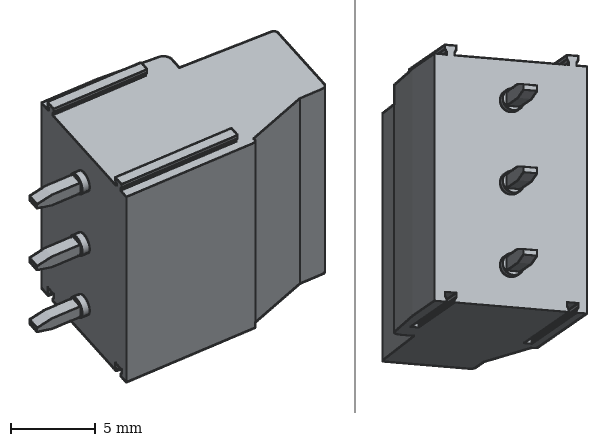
import cadquery as cq
import math


overall_depth = 18.5

pole_pitch = 5.0
pole_count = 3
housing_width = 9.5
housing_depth = 15.0
housing_height = pole_pitch * pole_count

left_wall_depth = 3.87
left_wall_lean = 4.0
ledge_depth = 8.5
ledge_inner_x = 1.7
neck_lean = 2.0
ledge_fillet = 0.6

rim_depth = 9.01
slope_end_depth = 13.14
slope_angle = 20.0
neck_right_x = 7.68
rim_fillet = 0.18
neck_fillet = 0.3

rib_width = 0.7
rib_height = 0.6
rib_head_height = 0.25
rib_taper_height = 0.18
rib_taper_inset = 0.11
left_rib_x = 1.02
right_rib_x = 8.62
left_rib_length = 6.48
right_rib_length = 8.03

pin_x = housing_width / 2
pin_total_length = overall_depth - housing_depth
pin_size = 0.85
pin_tip_height = 0.33
pin_tip_length = 1.04
collar_diameter = 1.33
collar_length = 0.5


def lean_offset(run, angle):
    """Sideways shift of a wall that leans by angle over the given run."""
    return run * math.tan(math.radians(angle))


def make_housing():
    ledge_outer_x = lean_offset(ledge_depth - left_wall_depth, left_wall_lean)
    neck_left_x = ledge_inner_x + lean_offset(housing_depth - ledge_depth, neck_lean)
    rim_inner_x = neck_right_x + lean_offset(slope_end_depth - rim_depth, slope_angle)

    ledge_corner = (ledge_outer_x, ledge_depth)
    neck_left_corner = (neck_left_x, housing_depth)
    neck_right_corner = (neck_right_x, housing_depth)
    rim_corner = (housing_width, rim_depth)

    outline = [
        (0, 0),
        (0, left_wall_depth),
        ledge_corner,
        (ledge_inner_x, ledge_depth),
        neck_left_corner,
        neck_right_corner,
        (neck_right_x, slope_end_depth),
        (rim_inner_x, rim_depth),
        rim_corner,
        (housing_width, 0),
    ]
    body = cq.Workplane("XY").polyline(outline).close().extrude(housing_height)

    rounded_corners = [
        (ledge_corner, ledge_fillet),
        (neck_left_corner, neck_fillet),
        (neck_right_corner, neck_fillet),
        (rim_corner, rim_fillet),
    ]
    for (x, y), radius in rounded_corners:
        edge_middle = (x, y, housing_height / 2)
        body = body.edges(cq.NearestToPointSelector(edge_middle)).fillet(radius)
    return body


def make_dovetail(center_x, base_z, length):
    """Dovetail bar standing on base_z and running from the base face to +Y."""
    head_half = rib_width / 2
    neck_half = head_half - rib_taper_inset
    head_z = rib_height - rib_head_height
    neck_z = head_z - rib_taper_height
    section = [
        (-neck_half, 0),
        (-neck_half, neck_z),
        (-head_half, head_z),
        (-head_half, rib_height),
        (head_half, rib_height),
        (head_half, head_z),
        (neck_half, neck_z),
        (neck_half, 0),
    ]
    plane = cq.Workplane("XZ", origin=(center_x, 0, base_z))
    return plane.polyline(section).close().extrude(-length)


def make_pin(center_z):
    """Square pin with a wedge tip, rising from a round collar on the base face."""
    collar = (
        cq.Workplane("XZ", origin=(pin_x, 0, center_z))
        .circle(collar_diameter / 2)
        .extrude(collar_length)
    )
    shank_half = pin_size / 2
    tip_half = pin_tip_height / 2
    tip_y = -pin_total_length
    taper_y = tip_y + pin_tip_length
    side_profile = [
        (0, -shank_half),
        (taper_y, -shank_half),
        (tip_y, -tip_half),
        (tip_y, tip_half),
        (taper_y, shank_half),
        (0, shank_half),
    ]
    blade = (
        cq.Workplane("YZ", origin=(pin_x, 0, center_z))
        .polyline(side_profile)
        .close()
        .extrude(shank_half, both=True)
    )
    return collar.union(blade)


result = make_housing()

dovetails = [(left_rib_x, left_rib_length), (right_rib_x, right_rib_length)]
for dovetail_x, dovetail_length in dovetails:
    result = result.cut(make_dovetail(dovetail_x, 0, dovetail_length))
    result = result.union(make_dovetail(dovetail_x, housing_height, dovetail_length))

for pole in range(pole_count):
    result = result.union(make_pin((pole + 0.5) * pole_pitch))